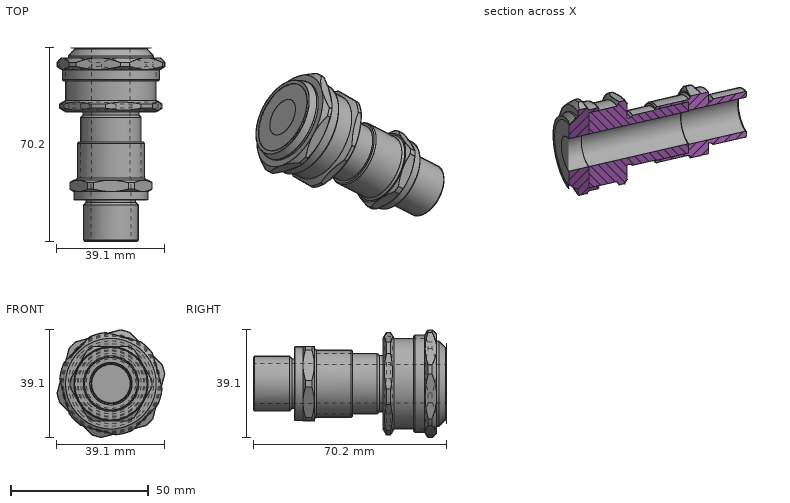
import cadquery as cq

total_length = 70.2

cable_bore_dia = 14.0
entry_bore_dia = 14.5
entry_mouth_dia = 15.45

entry_thread_dia = 20.0
entry_tip_dia = 19.1
entry_tip_chamfer = 0.5
entry_relief_dia = 18.0
entry_relief_start = 13.1
entry_skirt_dia = 26.95
entry_skirt_start = 14.95
entry_skirt_chamfer = 0.3
entry_hex_start = 18.05
entry_hex_end = 22.2
entry_hex_flats = 27.0
entry_hex_corner_dia = 29.9
entry_hex_chamfer = 0.9
entry_hex_turn = 30.0
sleeve_dia = 24.4
sleeve_start = 22.95
sleeve_flare = 0.7
sleeve_end = 36.1
sleeve_rim_depth = 0.6
sleeve_rim_width = 0.35

spigot_dia = 22.0
spigot_relief_dia = 20.5
spigot_end = 45.0
spigot_relief_taper = 0.85
barrel_dia = 32.9
connector_hex_start = 47.05
connector_hex_end = 51.2
connector_hex_flats = 34.95
connector_hex_corner_dia = 37.4
connector_hex_chamfer = 1.3
connector_hex_turn = -15.0

nut_skirt_dia = 35.4
nut_skirt_start = 58.3
nut_skirt_chamfer = 0.4
nut_hex_start = 62.3
nut_hex_end = 66.6
nut_hex_flats = 36.0
nut_hex_corner_dia = 39.75
nut_hex_front_chamfer = 1.25
nut_hex_back_chamfer = 1.7
nut_hex_turn = 15.0
collar_dia = 31.0
collar_end = 67.4
neck_dia = 26.5
neck_length = 0.4
back_disc_dia = 29.1
back_disc_thickness = 0.1


def turned(outline):
    """Solid of revolution about Y from (diameter, y) points, closed along the axis."""
    points = [(diameter / 2, y) for diameter, y in outline]
    first_y = outline[0][1]
    last_y = outline[-1][1]
    profile = cq.Workplane("XY").polyline([(0, first_y), *points, (0, last_y)]).close()
    return profile.revolve(360, (0, 0), (0, 1))


def cylinder(diameter, start, end):
    return turned([(diameter, start), (diameter, end)])


def chamfered_hexagon(flats, outline, turn):
    """Hexagonal prism about Y trimmed by a turned outline; turn is in degrees from corners on Z."""
    start = outline[0][1]
    length = outline[-1][1] - start
    prism = cq.Workplane("XZ", origin=(0, start, 0)).polygon(6, flats, circumscribed=True).extrude(-length)
    return prism.rotate((0, 0, 0), (0, 1, 0), turn).intersect(turned(outline))


def make_entry_body():
    relief_taper = (entry_thread_dia - entry_relief_dia) / 2
    thread = turned([
        (entry_tip_dia, 0),
        (entry_thread_dia, entry_tip_chamfer),
        (entry_thread_dia, entry_relief_start),
        (entry_relief_dia, entry_relief_start + relief_taper),
        (entry_relief_dia, entry_skirt_start),
    ])
    skirt = turned([
        (entry_skirt_dia - 2 * entry_skirt_chamfer, entry_skirt_start),
        (entry_skirt_dia, entry_skirt_start + entry_skirt_chamfer),
        (entry_skirt_dia, entry_hex_start),
    ])
    hexagon = chamfered_hexagon(
        entry_hex_flats,
        [
            (entry_skirt_dia, entry_hex_start),
            (entry_hex_corner_dia, entry_hex_start + entry_hex_chamfer),
            (entry_hex_corner_dia, entry_hex_end - entry_hex_chamfer),
            (entry_skirt_dia, entry_hex_end),
        ],
        entry_hex_turn,
    )
    sleeve = turned([
        (sleeve_dia + 2 * sleeve_flare, entry_hex_end),
        (sleeve_dia, sleeve_start),
        (sleeve_dia, sleeve_end - sleeve_rim_depth),
        (sleeve_dia - 2 * sleeve_rim_width, sleeve_end),
    ])
    mouth_chamfer = (entry_mouth_dia - entry_bore_dia) / 2
    bore = turned([
        (entry_mouth_dia, 0),
        (entry_bore_dia, mouth_chamfer),
        (entry_bore_dia, sleeve_start),
    ])
    socket = cylinder(spigot_dia, sleeve_start, sleeve_end)
    return thread.union(skirt).union(hexagon).union(sleeve).cut(bore).cut(socket)


def make_connector_body():
    spigot = turned([
        (spigot_dia, sleeve_start),
        (spigot_dia, spigot_end),
        (spigot_relief_dia, spigot_end + spigot_relief_taper),
        (spigot_relief_dia, connector_hex_start),
    ])
    hexagon = chamfered_hexagon(
        connector_hex_flats,
        [
            (barrel_dia, connector_hex_start),
            (connector_hex_corner_dia, connector_hex_start + connector_hex_chamfer),
            (connector_hex_corner_dia, connector_hex_end - connector_hex_chamfer),
            (barrel_dia, connector_hex_end),
        ],
        connector_hex_turn,
    )
    barrel = cylinder(barrel_dia, connector_hex_end, nut_hex_start)
    bore = cylinder(cable_bore_dia, sleeve_start, nut_hex_start)
    return spigot.union(hexagon).union(barrel).cut(bore)


def make_gland_nut():
    back_disc_start = total_length - back_disc_thickness
    skirt = turned([
        (nut_skirt_dia - 2 * nut_skirt_chamfer, nut_skirt_start),
        (nut_skirt_dia, nut_skirt_start + nut_skirt_chamfer),
        (nut_skirt_dia, nut_hex_start),
    ])
    hexagon = chamfered_hexagon(
        nut_hex_flats,
        [
            (nut_skirt_dia, nut_hex_start),
            (nut_hex_corner_dia, nut_hex_start + nut_hex_front_chamfer),
            (nut_hex_corner_dia, nut_hex_end - nut_hex_back_chamfer),
            (nut_hex_flats, nut_hex_end),
        ],
        nut_hex_turn,
    )
    back = turned([
        (collar_dia, nut_hex_end),
        (collar_dia, collar_end),
        (neck_dia, total_length - neck_length),
        (neck_dia, back_disc_start),
    ])
    back_disc = cylinder(back_disc_dia, back_disc_start, total_length)
    socket = cylinder(barrel_dia, nut_skirt_start, nut_hex_start)
    bore = cylinder(cable_bore_dia, nut_hex_start, back_disc_start)
    return skirt.union(hexagon).union(back).union(back_disc).cut(socket).cut(bore)


entry_body = make_entry_body()
connector_body = make_connector_body()
gland_nut = make_gland_nut()

bodies = [entry_body, connector_body, gland_nut]
result = cq.Compound.makeCompound([body.solids().val() for body in bodies])